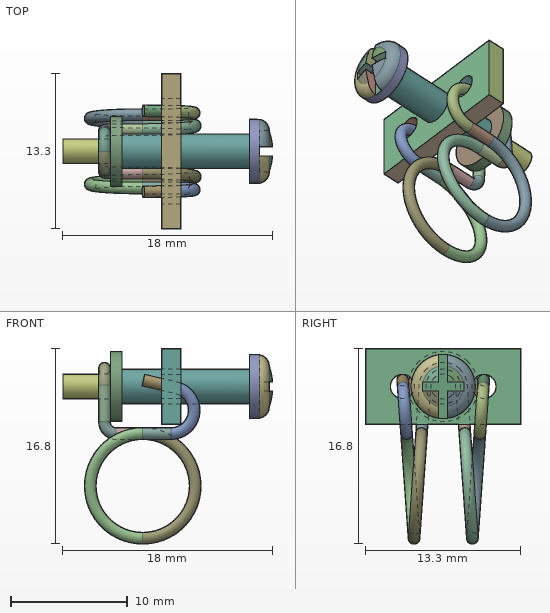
import cadquery as cq
import math


total_length = 17.98
stub_length = 4.08
collar_thickness = 1.0
head_length = 2.0
head_rim_length = 0.88
stub_radius = 1.06
collar_radius = 3.0
shaft_radius = 1.5
head_radius = 2.75
crown_sphere_radius = 5.21
crown_shoulder_radius = 1.76
rim_arc_radius_inset = 0.27
rim_arc_mid_drop = 0.6
slot_width = 0.77
cross_slot_length = 2 * crown_shoulder_radius

plate_thickness = 1.65
plate_width = 13.3
plate_height = 6.5
plate_start = 8.47
wire_hole_radius = 1.02
wire_hole_offset = 3.49

wire_radius = 0.5
coil_radius = 4.5
coil_center_x = 6.85
coil_bottom_y = 2.5
coil_bottom_z = -13.0
coil_tilt = 4.1
elbow_radius = 0.99
hook_radius = 2.0
hook_start_x = 9.26
tail_slope = 13.1
tail_end_x = 6.9

collar_end = stub_length + collar_thickness
head_start = total_length - head_length
crown_start = head_start + head_rim_length
slot_corner_radius = slot_width / math.sqrt(2)
crown_center = total_length - math.sqrt(crown_sphere_radius**2 - slot_corner_radius**2)
crown_shoulder = crown_center + math.sqrt(crown_sphere_radius**2 - crown_shoulder_radius**2)
saddle_radius = stub_radius + wire_radius
saddle_x = stub_length - wire_radius


def make_screw():
    """Stepped pin with a collar and a rounded, cross-slotted head."""
    body = (
        cq.Workplane("XZ")
        .lineTo(0, stub_radius)
        .lineTo(stub_length, stub_radius)
        .lineTo(stub_length, collar_radius)
        .lineTo(collar_end, collar_radius)
        .lineTo(collar_end, shaft_radius)
        .lineTo(head_start, shaft_radius)
        .lineTo(head_start, head_radius)
        .lineTo(crown_start, head_radius)
        .threePointArc(
            (total_length - rim_arc_mid_drop, head_radius - rim_arc_radius_inset),
            (crown_shoulder, crown_shoulder_radius),
        )
        .threePointArc((total_length, slot_corner_radius), (crown_center + crown_sphere_radius, 0))
        .close()
        .revolve(360, (0, 0, 0), (1, 0, 0))
    )
    slot_depth = crown_center + crown_sphere_radius - crown_start
    slot_floor = cq.Workplane("YZ", origin=(crown_start, 0, 0))
    through_slot = slot_floor.rect(slot_width, 2 * head_radius).extrude(slot_depth)
    cross_slot = slot_floor.rect(cross_slot_length, slot_width).extrude(slot_depth)
    slots = through_slot.union(cross_slot)
    return body.cut(slots)


def make_plate():
    """Rectangular plate with a screw hole between two wire holes."""
    face = cq.Workplane("YZ", origin=(plate_start, 0, 0))
    plate = face.rect(plate_width, plate_height).extrude(plate_thickness)
    screw_hole = face.circle(shaft_radius).extrude(plate_thickness)
    wire_holes = (
        face.pushPoints([(-wire_hole_offset, 0), (wire_hole_offset, 0)])
        .circle(wire_hole_radius)
        .extrude(plate_thickness)
    )
    return plate.cut(screw_hole).cut(wire_holes)


def leaning_point(x, rise, lean, side):
    """Point in a plane through the coil bottom; lean is +1 away from the screw, -1 towards it."""
    tilt = math.radians(coil_tilt)
    y = coil_bottom_y + lean * rise * math.sin(tilt)
    return cq.Vector(x, side * y, coil_bottom_z + rise * math.cos(tilt))


def side_path(side):
    """Edges of one half of the wire, from the saddle to the free tail."""
    def inner(x, rise):
        return leaning_point(x, rise, -1, side)

    def outer(x, rise):
        return leaning_point(x, rise, 1, side)

    line = cq.Edge.makeLine
    arc = cq.Edge.makeThreePointArc
    coil_top = 2 * coil_radius
    tilt = math.radians(coil_tilt)
    diagonal = math.sqrt(0.5)

    saddle_end = cq.Vector(saddle_x, side * saddle_radius * math.cos(tilt), saddle_radius * math.sin(tilt))
    elbow_start = inner(saddle_x, coil_top + elbow_radius)
    elbow_middle = inner(
        saddle_x + elbow_radius * (1 - diagonal),
        coil_top + elbow_radius * (1 - diagonal),
    )
    elbow_end = inner(saddle_x + elbow_radius, coil_top)

    coil_start = inner(coil_center_x, coil_top)
    coil_bottom = inner(coil_center_x, 0)
    coil_end = outer(coil_center_x, coil_top)

    hook_sweep = math.radians(180 - tail_slope)
    hook_center_rise = coil_top + hook_radius

    def on_hook(angle):
        x = hook_start_x + hook_radius * math.sin(angle)
        return x, hook_center_rise - hook_radius * math.cos(angle)

    hook_end_x, hook_end_rise = on_hook(hook_sweep)
    tail_rise = hook_end_rise + (hook_end_x - tail_end_x) * math.tan(math.radians(tail_slope))

    return [
        line(saddle_end, elbow_start),
        arc(elbow_start, elbow_middle, elbow_end),
        line(elbow_end, coil_start),
        arc(coil_start, inner(coil_center_x + coil_radius, coil_radius), coil_bottom),
        arc(coil_bottom, outer(coil_center_x - coil_radius, coil_radius), coil_end),
        line(coil_end, outer(hook_start_x, coil_top)),
        arc(outer(hook_start_x, coil_top), outer(*on_hook(hook_sweep / 2)), outer(*on_hook(hook_sweep))),
        line(outer(*on_hook(hook_sweep)), outer(tail_end_x, tail_rise)),
    ]


def make_half_spring(side):
    """One side of the spring, including its half of the saddle over the stub."""
    edges = side_path(side)
    saddle_end = edges[0].startPoint()
    saddle_top = cq.Vector(saddle_x, 0, saddle_radius)
    half_angle = math.radians(90 + coil_tilt) / 2
    saddle_middle = cq.Vector(
        saddle_x,
        side * saddle_radius * math.cos(half_angle),
        saddle_radius * math.sin(half_angle),
    )
    saddle = cq.Edge.makeThreePointArc(saddle_top, saddle_middle, saddle_end)
    path = cq.Wire.assembleEdges([saddle] + edges)
    return cq.Workplane("XZ", origin=saddle_top.toTuple()).circle(wire_radius).sweep(cq.Workplane(path))


def make_spring():
    """Bent wire: a saddle over the stub, a coil on each side and two hooked tails."""
    return make_half_spring(1).union(make_half_spring(-1))


screw = make_screw()
plate = make_plate()
spring = make_spring()

result = cq.Compound.makeCompound([screw.val(), plate.val(), *spring.solids().vals()])